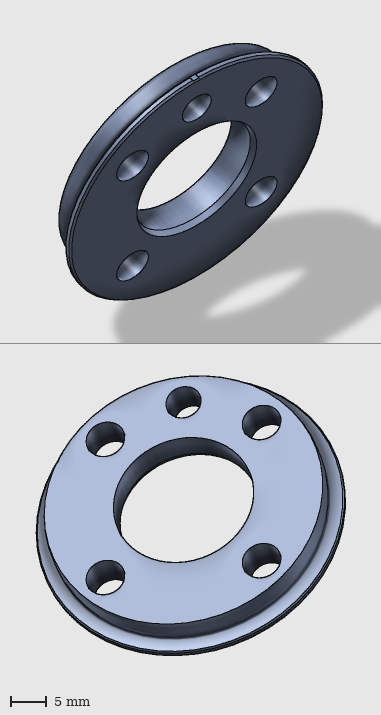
import cadquery as cq
import math

thickness = 5.5
body_radius = 20.0
flange_radius = 22.0
flange_start = 4.32
flange_side_angle = 5.0
flange_bevel = 0.3
flange_front_bevel_length = 0.25
flange_front_bevel_depth = 0.2

lead_face_radius = 19.87
lead_bevel_radius = 19.95
lead_bevel_end = 0.3
lead_taper_end = 0.7

relief_start = 2.95
relief_angle = 12.0
root_fillet = 0.45

bore_radius = 10.0
bore_flare_length = 1.0
bore_flare_angle = 20.0
hole_circle_radius = 15.75
corner_hole_diameter = 5.5
top_hole_diameter = 5.0
corner_hole_angles = (45, 135, 225, 315)
top_hole_angle = 90

notch_width = 1.0
notch_depth = 0.1


def make_disc():
    """Revolve the half section, drawn as (axial, radial) points, about X."""
    flange_side_top = flange_radius - flange_front_bevel_depth
    relief_tilt = math.radians(relief_angle)
    side_tilt = math.radians(flange_side_angle)

    side_run = flange_start - relief_start
    side_height = flange_side_top - body_radius
    corner_run = (side_run - side_height * math.tan(side_tilt)) / (
        1 + math.tan(relief_tilt) * math.tan(side_tilt)
    )
    corner_x = relief_start + corner_run
    corner_radius = body_radius - corner_run * math.tan(relief_tilt)

    fillet_sweep = math.pi / 2 - relief_tilt + side_tilt
    setback = root_fillet * math.tan(fillet_sweep / 2)
    fillet_start = (
        corner_x - setback * math.cos(relief_tilt),
        corner_radius + setback * math.sin(relief_tilt),
    )
    fillet_end = (
        corner_x + setback * math.sin(side_tilt),
        corner_radius + setback * math.cos(side_tilt),
    )
    center_x = fillet_start[0] + root_fillet * math.sin(relief_tilt)
    center_radius = fillet_start[1] + root_fillet * math.cos(relief_tilt)
    middle_angle = -math.pi / 2 - relief_tilt + fillet_sweep / 2
    fillet_middle = (
        center_x + root_fillet * math.cos(middle_angle),
        center_radius + root_fillet * math.sin(middle_angle),
    )

    bore_mouth_radius = bore_radius + bore_flare_length * math.tan(math.radians(bore_flare_angle))

    section = (
        cq.Workplane("XY")
        .moveTo(0, bore_radius)
        .lineTo(0, lead_face_radius)
        .lineTo(lead_bevel_end, lead_bevel_radius)
        .lineTo(lead_taper_end, body_radius)
        .lineTo(relief_start, body_radius)
        .lineTo(*fillet_start)
        .threePointArc(fillet_middle, fillet_end)
        .lineTo(flange_start, flange_side_top)
        .lineTo(flange_start + flange_front_bevel_length, flange_radius)
        .lineTo(thickness - flange_bevel, flange_radius)
        .lineTo(thickness, flange_radius - flange_bevel)
        .lineTo(thickness, bore_mouth_radius)
        .lineTo(thickness - bore_flare_length, bore_radius)
        .close()
    )
    return section.revolve(360, (0, 0, 0), (1, 0, 0))


def make_hole(diameter, angle):
    """Through-hole cutter on the hole circle, angle measured from +Y towards +Z."""
    y = hole_circle_radius * math.cos(math.radians(angle))
    z = hole_circle_radius * math.sin(math.radians(angle))
    return cq.Workplane("YZ").center(y, z).circle(diameter / 2).extrude(thickness)


def make_notch():
    """Flat-bottomed slot across the full width of the flange rim."""
    rim_width = thickness - flange_start
    slot = cq.Workplane("XY").box(rim_width, notch_width, notch_depth, centered=(False, True, False))
    return slot.translate((flange_start, 0, flange_radius - notch_depth))


result = make_disc()
for corner_angle in corner_hole_angles:
    result = result.cut(make_hole(corner_hole_diameter, corner_angle))
result = result.cut(make_hole(top_hole_diameter, top_hole_angle))
result = result.cut(make_notch())